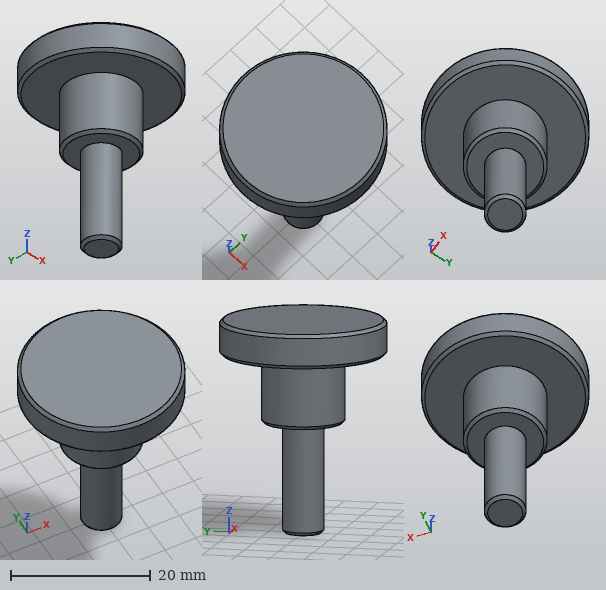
import cadquery as cq

total_height = 31.0
head_diameter = 24.0
head_height = 5.0
hub_diameter = head_diameter / 2
hub_height = 2 * head_height
stud_diameter = head_diameter / 4
stud_length = total_height - head_height - hub_height
edge_chamfer = 0.5


def disc(diameter, bottom, height, chamfered_edges):
    """Upright cylinder with chamfers on the selected circular edges."""
    cylinder = cq.Workplane("XY").workplane(offset=bottom).circle(diameter / 2).extrude(height)
    return cylinder.faces(chamfered_edges).edges().chamfer(edge_chamfer)


stud = disc(stud_diameter, 0, stud_length, "<Z")
hub = disc(hub_diameter, stud_length, hub_height, "<Z")
head = disc(head_diameter, stud_length + hub_height, head_height, "<Z or >Z")

result = stud.union(hub).union(head)